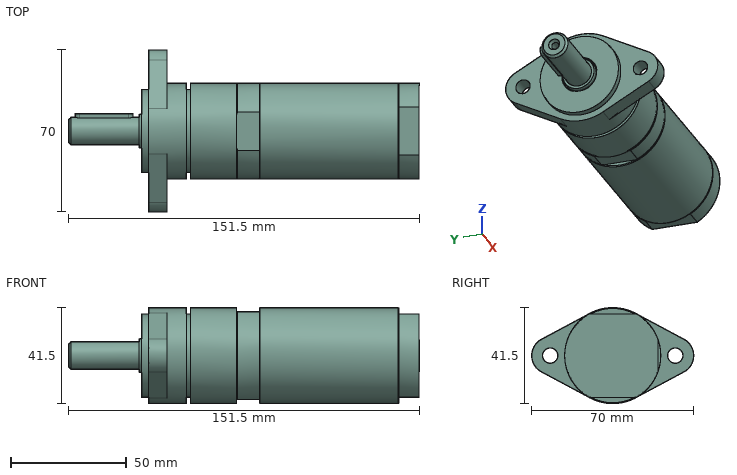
import cadquery as cq
import math


shaft_diameter = 12.0
shaft_chamfer = 1.0
center_hole_diameter = 3.24
center_hole_depth = 10.0
countersink_diameter = 5.0
drill_point_angle = 118.0
countersink_angle = 60.0

key_start = 2.75
key_length = 25.0
key_width = 4.0
key_height = 4.0
key_top = 7.5

seal_start = 30.4
seal_diameter = 14.95
seal_nose_diameter = 14.35
seal_seat_diameter = 16.0
seal_seat_depth = 1.0

pilot_start = 31.5
flange_start = 34.5
flange_thickness = 8.0
groove_start = 50.75
groove_width = 1.75
wrench_start = 72.5
wrench_end = 82.25
rear_start = 142.6
rear_face = 151.2
lip_height = 0.3

body_diameter = 41.5
pilot_diameter = 36.0
groove_diameter = 36.0
edge_chamfer = 0.4
wrench_flat_width = 38.0
rear_flat_width = 36.0
lip_inner_edge = 19.6

hole_spacing = 54.0
hole_diameter = 6.5
ear_radius = 8.0

body_radius = body_diameter / 2


def cylinder(start, end, diameter):
    """Cylinder on the motor axis between two X stations."""
    return cq.Workplane("YZ", origin=(start, 0, 0)).circle(diameter / 2).extrude(end - start)


def make_shaft():
    shaft = cylinder(0, pilot_start + seal_seat_depth, shaft_diameter)
    return shaft.faces("<X").chamfer(shaft_chamfer)


def make_center_hole():
    """Drilled hole in the shaft tip with a conical mouth and a conical bottom."""
    hole_radius = center_hole_diameter / 2
    mouth_radius = countersink_diameter / 2
    mouth_depth = (mouth_radius - hole_radius) / math.tan(math.radians(countersink_angle / 2))
    point_depth = hole_radius / math.tan(math.radians(drill_point_angle / 2))
    profile = (
        cq.Workplane("XY")
        .moveTo(0, 0)
        .lineTo(0, mouth_radius)
        .lineTo(mouth_depth, hole_radius)
        .lineTo(center_hole_depth, hole_radius)
        .lineTo(center_hole_depth + point_depth, 0)
        .close()
    )
    return profile.revolve(360, (0, 0, 0), (1, 0, 0))


def make_key():
    """Round-ended key standing out of the +Y side of the shaft."""
    return (
        cq.Workplane("XZ", origin=(key_start + key_length / 2, key_top, 0))
        .slot2D(key_length, key_width)
        .extrude(key_height)
    )


def make_seal():
    """Seal set in its seat, with a tapered nose standing out of the pilot face."""
    nose = (
        cq.Workplane("YZ", origin=(seal_start, 0, 0))
        .circle(seal_nose_diameter / 2)
        .workplane(offset=pilot_start - seal_start)
        .circle(seal_diameter / 2)
        .loft(ruled=True)
    )
    return nose.union(cylinder(pilot_start, pilot_start + seal_seat_depth, seal_diameter))


def make_flange():
    """Two-hole flange: body circle joined to two ears by tangent lines."""
    ear_center = hole_spacing / 2
    tangent_sin = (body_radius - ear_radius) / ear_center
    tangent_cos = math.sqrt(1 - tangent_sin**2)
    body_y = body_radius * tangent_sin
    body_z = body_radius * tangent_cos
    ear_y = ear_center + ear_radius * tangent_sin
    ear_z = ear_radius * tangent_cos
    ear_tip = ear_center + ear_radius
    return (
        cq.Workplane("YZ", origin=(flange_start, 0, 0))
        .moveTo(-body_y, body_z)
        .threePointArc((0, body_radius), (body_y, body_z))
        .lineTo(ear_y, ear_z)
        .threePointArc((ear_tip, 0), (ear_y, -ear_z))
        .lineTo(body_y, -body_z)
        .threePointArc((0, -body_radius), (-body_y, -body_z))
        .lineTo(-ear_y, -ear_z)
        .threePointArc((-ear_tip, 0), (-ear_y, ear_z))
        .close()
        .pushPoints([(-ear_center, 0), (ear_center, 0)])
        .circle(hole_diameter / 2)
        .extrude(flange_thickness)
    )


def make_flatted_section(start, end, flat_width):
    """Body section with two parallel flats facing +Z and -Z."""
    section = cylinder(start, end, body_diameter)
    slab = cq.Workplane("XY").box(end - start, body_diameter, flat_width)
    return section.intersect(slab.translate(((start + end) / 2, 0, 0)))


def make_wrench_section():
    """Flatted section whose round edge is chamfered at the front end."""
    section = make_flatted_section(wrench_start, wrench_end, wrench_flat_width)
    round_blank = cylinder(wrench_start, wrench_end, body_diameter)
    return section.intersect(round_blank.faces("<X").chamfer(edge_chamfer))


def make_rear_lip():
    """Thin segment left standing on the +Y edge of the rear face."""
    end = rear_face + lip_height
    lip = make_flatted_section(rear_start, end, rear_flat_width)
    keep = cq.Workplane("XY").box(end, body_radius, body_diameter, centered=(False, False, True))
    return lip.intersect(keep.translate((0, lip_inner_edge, 0)))


def make_body():
    groove_end = groove_start + groove_width
    body = cylinder(pilot_start, flange_start, pilot_diameter)
    body = body.cut(cylinder(pilot_start, pilot_start + seal_seat_depth, seal_seat_diameter))
    body = body.union(make_flange())
    body = body.union(cylinder(flange_start, groove_start, body_diameter))
    body = body.union(cylinder(groove_start, groove_end, groove_diameter))
    body = body.union(cylinder(groove_end, wrench_start, body_diameter))
    body = body.union(make_wrench_section())
    motor = cylinder(wrench_end, rear_start, body_diameter)
    body = body.union(motor.faces("<X or >X").chamfer(edge_chamfer))
    body = body.union(make_flatted_section(rear_start, rear_face, rear_flat_width))
    return body.union(make_rear_lip())


result = make_body().union(make_seal()).union(make_shaft()).cut(make_center_hole()).union(make_key())